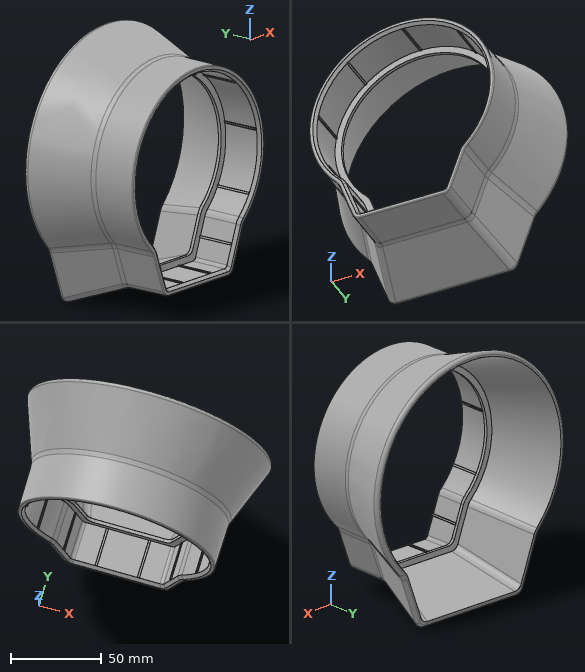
import cadquery as cq
import math

LENGTH = 67.0
NECK_RADIUS = 57.0
FOOT_DROP = 68.95
FOOT_HALF_WIDTH = 29.05
FOOT_SIDE_ANGLE = 20.0

NECK_DRAFT = 0.5
FLARE_ANGLE = 20.0
BEND_Y = 28.0
WALL = 4.0

WAIST_RADIUS = 10.0
FOOT_CORNER_RADIUS = 5.0
NECK_INNER_CORNER_RADIUS = 2.5
BEND_RADIUS = 9.0
REAR_EDGE_RADIUS = 2.0
MOUTH_EDGE_RADIUS = 0.6

FLANGE_INSET = 8.0
FLANGE_FRONT_Y = 24.5
FLANGE_THICKNESS = 2.0
FLANGE_BACK_Y = FLANGE_FRONT_Y + FLANGE_THICKNESS

LEAD_IN_INSET = 2.3
LEAD_IN_DEPTH = 2.0

RIB_WIDTH = 1.2
RIB_HEIGHT = 0.5
RIB_ROOT = 1.0
ROUND_RIB_ANGLES = range(-30, 211, 40)
FLOOR_RIB_X = 12.2
SIDE_RIB_Z = -52.3

TOLERANCE = 0.001

SIDE_SIN = math.sin(math.radians(FOOT_SIDE_ANGLE))
SIDE_COS = math.cos(math.radians(FOOT_SIDE_ANGLE))
SIDE_DISTANCE = FOOT_HALF_WIDTH * SIDE_COS + FOOT_DROP * SIDE_SIN

NECK_SLOPE = math.tan(math.radians(NECK_DRAFT))
FLARE_SLOPE = math.tan(math.radians(FLARE_ANGLE))
BEND_OFFSET = BEND_Y * NECK_SLOPE
FLARE_INNER_OFFSET = BEND_OFFSET - WALL + (FLANGE_BACK_Y - BEND_Y) * FLARE_SLOPE


def keyhole_wire(y, offset, corner_radius):
    """Rounded keyhole outline in the plane at y, offset outwards from the mouth outline."""
    radius = NECK_RADIUS + offset
    floor_z = -(FOOT_DROP + offset)
    side = SIDE_DISTANCE + offset
    corner_x = (side + floor_z * SIDE_SIN) / SIDE_COS

    drop = math.sqrt(radius**2 - side**2)
    waist_x = side * SIDE_COS - drop * SIDE_SIN
    waist_z = -side * SIDE_SIN - drop * SIDE_COS

    crown = cq.Vector(0, y, radius)
    waist_left = cq.Vector(-waist_x, y, waist_z)
    waist_right = cq.Vector(waist_x, y, waist_z)
    corner_left = cq.Vector(-corner_x, y, floor_z)
    corner_right = cq.Vector(corner_x, y, floor_z)
    wire = cq.Wire.assembleEdges([
        cq.Edge.makeThreePointArc(waist_left, crown, waist_right),
        cq.Edge.makeLine(waist_right, corner_right),
        cq.Edge.makeLine(corner_right, corner_left),
        cq.Edge.makeLine(corner_left, waist_left),
    ])
    corners = [vertex for vertex in wire.Vertices() if abs(vertex.Z - floor_z) < TOLERANCE]
    wire = wire.fillet2D(corner_radius, corners)
    waists = [vertex for vertex in wire.Vertices() if abs(vertex.Z - waist_z) < TOLERANCE]
    return wire.fillet2D(WAIST_RADIUS, waists)


def keyhole(y_start, y_end, offset, slope, corner_radius):
    """Solid keyhole whose offset applies at y_start and grows by slope per unit of Y."""
    end_offset = offset + slope * (y_end - y_start)
    start = keyhole_wire(y_start, offset, corner_radius)
    end = keyhole_wire(y_end, end_offset, corner_radius)
    return cq.Workplane(cq.Solid.makeLoft([start, end], True))


def rib(x, z, angle):
    """Rib on the neck wall at (x, z); angle is the direction of the wall's outward normal."""
    length = FLANGE_FRONT_Y - LEAD_IN_DEPTH
    return (
        cq.Workplane("XY")
        .box(RIB_HEIGHT + RIB_ROOT, length, RIB_WIDTH, centered=(False, False, True))
        .translate((-RIB_HEIGHT, 0, 0))
        .rotate((0, 0, 0), (0, 1, 0), -angle)
        .translate((x, LEAD_IN_DEPTH, z))
    )


def neck_ribs():
    """Ribs spaced around the round wall, plus two on the foot floor and one on each side."""
    radius = NECK_RADIUS - WALL
    side = SIDE_DISTANCE - WALL
    side_x = (side + SIDE_RIB_Z * SIDE_SIN) / SIDE_COS
    down = -90
    ribs = []
    for angle in ROUND_RIB_ANGLES:
        turn = math.radians(angle)
        ribs.append(rib(radius * math.cos(turn), radius * math.sin(turn), angle))
    for hand in (-1, 1):
        ribs.append(rib(hand * FLOOR_RIB_X, WALL - FOOT_DROP, down))
        ribs.append(rib(hand * side_x, SIDE_RIB_Z, down + hand * (90 - FOOT_SIDE_ANGLE)))
    return ribs


def edges_at(body, y):
    """Edges that lie wholly in the plane at y."""
    reach = 2 * LENGTH
    low = (-reach, y - TOLERANCE, -reach)
    high = (reach, y + TOLERANCE, reach)
    return body.edges(cq.selectors.BoxSelector(low, high, boundingbox=True))


def outer_body():
    """Solid neck and flare with the bend and both end edges rounded."""
    neck = keyhole(0, BEND_Y, 0, NECK_SLOPE, FOOT_CORNER_RADIUS)
    flare = keyhole(BEND_Y, LENGTH, BEND_OFFSET, FLARE_SLOPE, FOOT_CORNER_RADIUS)
    body = neck.union(flare)
    body = edges_at(body, BEND_Y).fillet(BEND_RADIUS)
    body = edges_at(body, LENGTH).fillet(REAR_EDGE_RADIUS)
    return edges_at(body, 0).fillet(MOUTH_EDGE_RADIUS)


def cavity():
    """Open space through the part: lead-in, neck, flange opening and flare."""
    neck_offset = -WALL + NECK_SLOPE * (FLANGE_FRONT_Y - LEAD_IN_DEPTH)
    lead_in_slope = (LEAD_IN_INSET + neck_offset) / LEAD_IN_DEPTH
    lead_in = keyhole(0, LEAD_IN_DEPTH, -LEAD_IN_INSET, lead_in_slope, NECK_INNER_CORNER_RADIUS)
    neck = keyhole(LEAD_IN_DEPTH, FLANGE_FRONT_Y, neck_offset, -NECK_SLOPE, NECK_INNER_CORNER_RADIUS)
    opening = keyhole(FLANGE_FRONT_Y, FLANGE_BACK_Y, -FLANGE_INSET, 0, FOOT_CORNER_RADIUS)
    flare = keyhole(FLANGE_BACK_Y, LENGTH, FLARE_INNER_OFFSET, FLARE_SLOPE, FOOT_CORNER_RADIUS)
    return lead_in.union(neck).union(opening).union(flare)


shell = outer_body().cut(cavity())
for neck_rib in neck_ribs():
    shell = shell.union(neck_rib)

result = shell